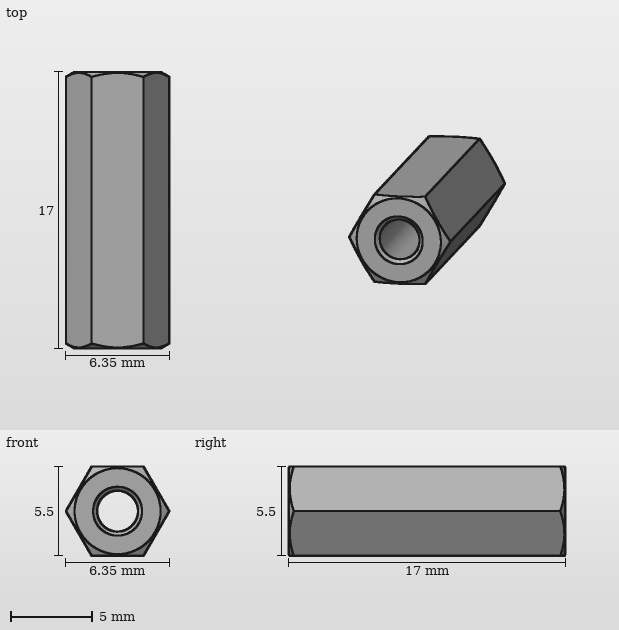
import cadquery as cq
import math

length = 17.0
across_flats = 5.5
across_corners = across_flats / math.cos(math.radians(30))

end_face_diameter = 5.29
end_chamfer_angle = 30.0

bore_diameter = 2.5
countersink_diameter = 3.01
countersink_depth = (countersink_diameter - bore_diameter) / 2


def hexagonal_bar():
    """Hexagonal bar with flats facing up and down and corners on the X axis."""
    return cq.Workplane("XZ").polygon(6, across_corners).extrude(length / 2, both=True)


def revolved_about_y(half_profile):
    """Solid of revolution about Y from (radius, y) points."""
    return cq.Workplane("XY").polyline(half_profile).close().revolve(360, (0, 0), (0, 1))


def corner_envelope():
    """Round bar with conical ends that meets the hexagon corners."""
    end = length / 2
    corner_radius = across_corners / 2
    face_radius = end_face_diameter / 2
    chamfer_length = (corner_radius - face_radius) * math.tan(math.radians(end_chamfer_angle))
    shoulder = end - chamfer_length
    return revolved_about_y([
        (0, -end),
        (face_radius, -end),
        (corner_radius, -shoulder),
        (corner_radius, shoulder),
        (face_radius, end),
        (0, end),
    ])


def countersunk_bore():
    """Through bore with a conical mouth at each end."""
    end = length / 2
    bore_radius = bore_diameter / 2
    mouth_radius = countersink_diameter / 2
    cone_start = end - countersink_depth
    return revolved_about_y([
        (0, -end),
        (mouth_radius, -end),
        (bore_radius, -cone_start),
        (bore_radius, cone_start),
        (mouth_radius, end),
        (0, end),
    ])


result = hexagonal_bar().intersect(corner_envelope()).cut(countersunk_bore())